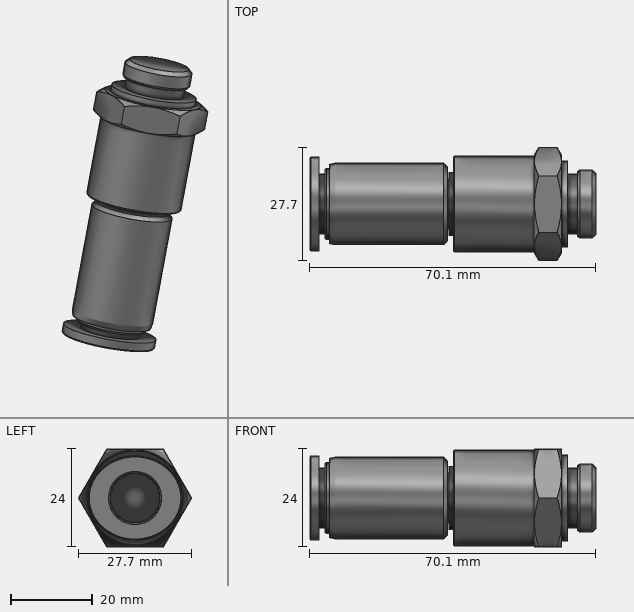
import cadquery as cq
import math


flange_width = 23.0
flange_height = 20.7
flange_end = 2.25
flange_bevel = 0.3
ring_diameter = 14.65
ring_end = 4.85
ring_bore_diameter = 12.3
bore_lead_in = 0.35

collar_start = 3.65
collar_diameter = 17.3
collar_bevel = 0.4
collar_bevel_height = 0.2
sleeve_diameter = 20.0
sleeve_start = ring_end
sleeve_end = 33.7
sleeve_taper = 1.3
sleeve_taper_height = 0.3
sleeve_bevel = 1.0
stem_diameter = 12.3
tube_bore_diameter = 12.0
tube_bore_end = 23.8

boss_start = 34.1
boss_diameter = 15.5
housing_start = 35.1
housing_diameter = 23.5
housing_bevel = 0.3
hex_start = 54.9
hex_end = 61.6
hex_across_flats = 24.0
hex_front_diameter = 23.6
hex_back_diameter = 23.9
hex_bevel_angle = 30
shoulder_end = 63.1
shoulder_diameter = 21.0
groove_end = 65.55
groove_diameter = 14.65
thread_diameter = 16.7
thread_lead_in = 0.55
thread_lead_in_diameter = 15.85
thread_bevel = 1.0
total_length = 70.1

hex_across_corners = hex_across_flats / math.cos(math.radians(30))


def turned(stations):
    """Revolve (x, diameter) stations, closed by the X axis, into a solid."""
    points = [(x, diameter / 2) for x, diameter in stations]
    first_x, last_x = points[0][0], points[-1][0]
    outline = [(first_x, 0)] + points + [(last_x, 0)]
    return cq.Workplane("XY").polyline(outline).close().revolve(360, (0, 0), (1, 0))


def make_release_ring():
    """Oval flange with a round shank and a through bore."""
    flange = (
        cq.Workplane("YZ")
        .ellipse(flange_width / 2, flange_height / 2)
        .extrude(flange_end)
        .faces("<X").edges().chamfer(flange_bevel)
    )
    shank = turned([(flange_end, ring_diameter), (ring_end, ring_diameter)])
    bore = turned([
        (0, ring_bore_diameter + 2 * bore_lead_in),
        (bore_lead_in, ring_bore_diameter),
        (ring_end, ring_bore_diameter),
    ])
    return flange.union(shank).cut(bore)


def make_sleeve():
    """Barrel with a front collar, a rear stem and a blind tube bore."""
    body = turned([
        (collar_start, collar_diameter - 2 * collar_bevel_height),
        (collar_start + collar_bevel, collar_diameter),
        (sleeve_start, collar_diameter),
        (sleeve_start, sleeve_diameter - 2 * sleeve_taper_height),
        (sleeve_start + sleeve_taper, sleeve_diameter),
        (sleeve_end - sleeve_bevel, sleeve_diameter),
        (sleeve_end, sleeve_diameter - 2 * sleeve_bevel),
        (sleeve_end, stem_diameter),
        (boss_start, stem_diameter),
    ])
    bore = turned([
        (collar_start, ring_diameter),
        (ring_end, ring_diameter),
        (ring_end, tube_bore_diameter),
        (tube_bore_end, tube_bore_diameter),
    ])
    return body.cut(bore)


def make_hex():
    """Hexagon with its corners at +Y and -Y, bevelled at both ends."""
    prism = (
        cq.Workplane("YZ", origin=(hex_start, 0, 0))
        .polygon(6, hex_across_corners)
        .extrude(hex_end - hex_start)
    )
    slope = math.tan(math.radians(hex_bevel_angle))
    front_bevel = slope * (hex_across_corners - hex_front_diameter) / 2
    back_bevel = slope * (hex_across_corners - hex_back_diameter) / 2
    bevel_envelope = turned([
        (hex_start, hex_front_diameter),
        (hex_start + front_bevel, hex_across_corners),
        (hex_end - back_bevel, hex_across_corners),
        (hex_end, hex_back_diameter),
    ])
    return prism.intersect(bevel_envelope)


def make_housing():
    """Round housing with a front boss, a wrench hexagon and a threaded end."""
    barrel = turned([
        (boss_start, boss_diameter),
        (housing_start, boss_diameter),
        (housing_start, housing_diameter - 2 * housing_bevel),
        (housing_start + housing_bevel, housing_diameter),
        (hex_start, housing_diameter),
    ])
    threaded_end = turned([
        (hex_end, shoulder_diameter),
        (shoulder_end, shoulder_diameter),
        (shoulder_end, groove_diameter),
        (groove_end, groove_diameter),
        (groove_end, thread_lead_in_diameter),
        (groove_end + thread_lead_in, thread_diameter),
        (total_length - thread_bevel, thread_diameter),
        (total_length, thread_diameter - 2 * thread_bevel),
    ])
    return barrel.union(make_hex()).union(threaded_end)


release_ring = make_release_ring()
sleeve = make_sleeve()
housing = make_housing()

result = cq.Compound.makeCompound([release_ring.val(), sleeve.val(), housing.val()])